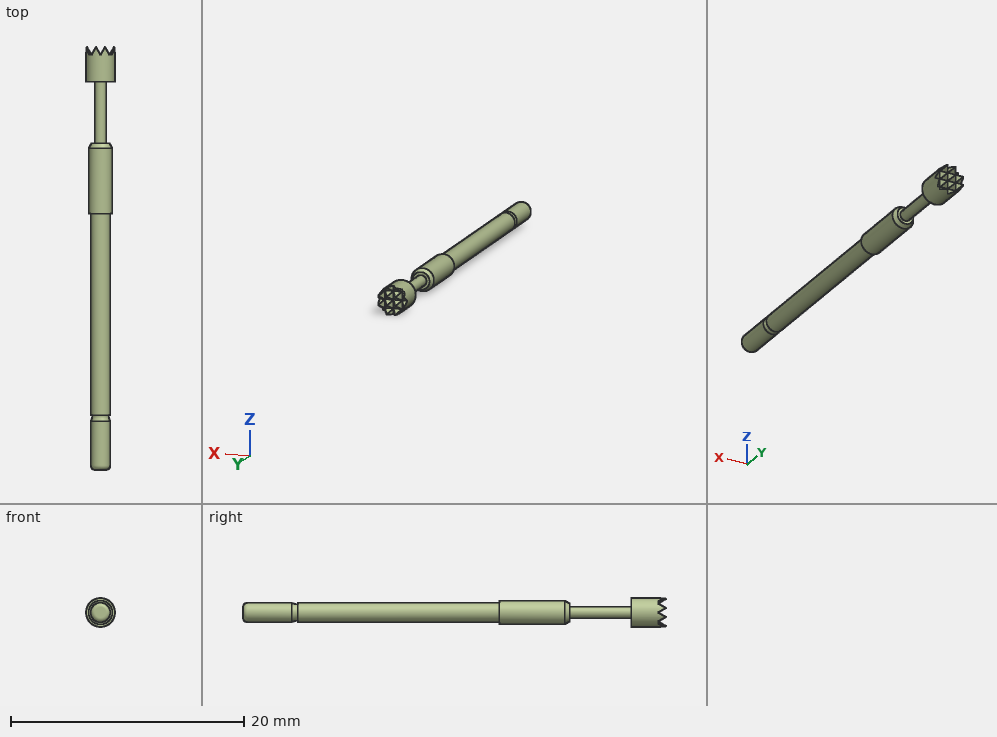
import cadquery as cq
import math


total_length = 36.3
crown_length = 3.0
plunger_length = 5.25
collar_length = 6.05
groove_distance_from_tail = 4.17
groove_width = 0.55
groove_floor_width = 0.2

crown_diameter = 2.5
plunger_diameter = 1.0
collar_diameter = 2.05
barrel_diameter = 1.68
groove_diameter = 1.45

collar_lead_in_length = 0.45
collar_lead_in_depth = 0.25
tail_fillet = 0.38

tooth_pitch = 0.77
tooth_angle = 60.0
grooves_each_way = 5

crown_base_y = total_length - crown_length
collar_front_y = crown_base_y - plunger_length
collar_rear_y = collar_front_y - collar_length
groove_rear_y = groove_distance_from_tail
groove_front_y = groove_rear_y + groove_width


def rod(diameter, start_y, end_y):
    """Cylinder on the Y axis from start_y to end_y."""
    return (
        cq.Workplane("XZ", origin=(0, start_y, 0))
        .circle(diameter / 2)
        .extrude(start_y - end_y)
    )


def make_barrel():
    """Barrel with a rounded tail."""
    barrel = rod(barrel_diameter, 0, collar_rear_y)
    return barrel.faces("<Y").edges().fillet(tail_fillet)


def make_collar():
    """Collar whose front edge is tapered."""
    profile = (
        cq.Workplane("XY")
        .moveTo(0, collar_front_y)
        .lineTo(collar_diameter / 2 - collar_lead_in_depth, collar_front_y)
        .lineTo(collar_diameter / 2, collar_front_y - collar_lead_in_length)
        .lineTo(collar_diameter / 2, collar_rear_y)
        .lineTo(0, collar_rear_y)
        .close()
    )
    return profile.revolve(360, (0, 0, 0), (0, 1, 0))


def make_groove_cutter():
    """Ring with a square front wall, a flat floor and a sloping rear wall."""
    outer = barrel_diameter / 2
    floor = groove_diameter / 2
    profile = (
        cq.Workplane("XY")
        .moveTo(outer, groove_front_y)
        .lineTo(floor, groove_front_y)
        .lineTo(floor, groove_front_y - groove_floor_width)
        .lineTo(outer, groove_rear_y)
        .close()
    )
    return profile.revolve(360, (0, 0, 0), (0, 1, 0))


def make_tooth_cutter():
    """Row of V-shaped ridges along X, each running along Z, joined above the tooth tips."""
    tooth_height = tooth_pitch / 2 / math.tan(math.radians(tooth_angle / 2))
    first_tip_x = -grooves_each_way * tooth_pitch / 2
    profile = cq.Workplane("XY").moveTo(first_tip_x, total_length)
    for index in range(grooves_each_way):
        tip_x = first_tip_x + index * tooth_pitch
        profile = profile.lineTo(tip_x + tooth_pitch / 2, total_length - tooth_height)
        profile = profile.lineTo(tip_x + tooth_pitch, total_length)
    return (
        profile
        .lineTo(-first_tip_x, total_length + tooth_height)
        .lineTo(first_tip_x, total_length + tooth_height)
        .close()
        .extrude(crown_diameter, both=True)
    )


def make_crown():
    """Crown cut by two crossing sets of V grooves, leaving a field of pyramids."""
    cutter = make_tooth_cutter()
    crown = rod(crown_diameter, crown_base_y, total_length)
    crown = crown.cut(cutter)
    return crown.cut(cutter.rotate((0, 0, 0), (0, 1, 0), 90))


plunger = rod(plunger_diameter, collar_front_y, crown_base_y)

result = (
    make_barrel()
    .cut(make_groove_cutter())
    .union(make_collar())
    .union(plunger)
    .union(make_crown())
)